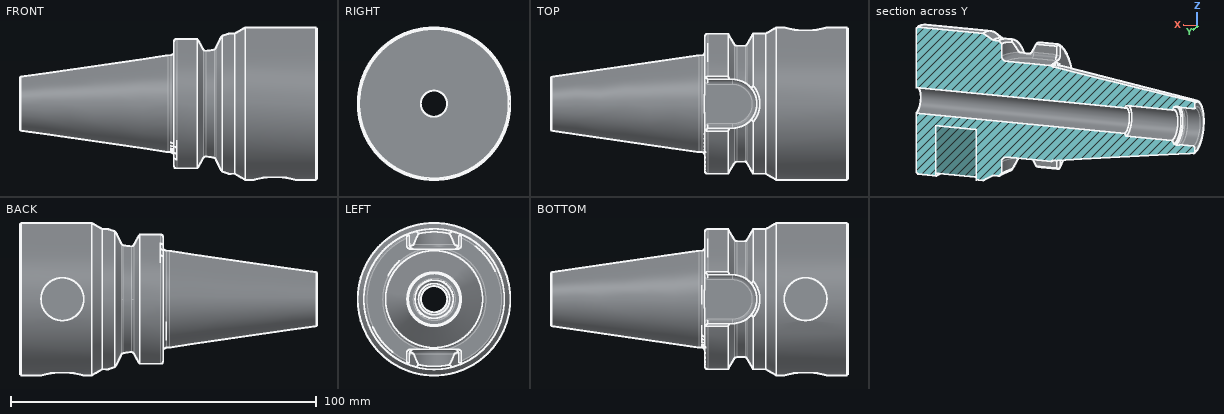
import cadquery as cq
import math


taper_length = 48.4
flange_face_x = 2.0
groove_center_x = 13.74
collar_end_x = 22.0
holder_end_x = 49.0
taper_tip_x = -taper_length

gauge_diameter = 31.75
taper_per_length = 7 / 24
flange_diameter = 46.0
groove_diameter = 38.0
body_diameter = 50.0

gauge_radius = gauge_diameter / 2
tip_radius = gauge_radius - taper_length * taper_per_length / 2
flange_radius = flange_diameter / 2
groove_radius = groove_diameter / 2
body_radius = body_diameter / 2

groove_width = 8.2
groove_wall_angle = math.radians(30)
groove_front_fillet = 1.0
groove_back_fillet = 0.6

groove_start = groove_center_x - groove_width / 2
groove_end = groove_center_x + groove_width / 2
groove_wall_run = (flange_radius - groove_radius) * math.tan(groove_wall_angle)
groove_floor_start = groove_start + groove_wall_run
groove_floor_end = groove_end - groove_wall_run

body_cone_angle = math.radians(30)
cone_end_x = collar_end_x + (body_radius - flange_radius) / math.tan(body_cone_angle)

neck_fillet = 1.0
flange_edge_fillet = 1.0
taper_end_chamfer = 0.4
body_end_chamfer = 0.6

bore_diameter = 12.5
bore_mouth_fillet = 0.65
bore_depth = 7.25
relief_diameter = 13.05
relief_depth = 5.0
relief_ramp = 1.05
relief_land = 0.6
thread_diameter = 10.2
thread_depth = 24.0
through_diameter = 8.5
step_angle = math.radians(60)

slot_width = 16.1
slot_floor_height = 16.3
slot_center_x = 11.0
slot_floor_fillet = 1.6
slot_edge_chamfer = 0.9
slot_end_chamfer = 1.0
slot_mouth_fillet = 1.2
slot_half_width = slot_width / 2
slot_overrun = 7.0
slot_start_x = flange_face_x - slot_overrun
mouth_overrun = 0.3

screw_x = 35.0
screw_diameter = 14.0
screw_hole_floor = 8.0
screw_recess = 0.9
screw_angles = (-90, 180)


def circle_at(x, radius):
    """Selects the turned edge of the given radius at the given place along the axis."""
    margin = 0.01
    reach = radius + margin
    low_corner = (x - margin, -reach, -reach)
    high_corner = (x + margin, reach, reach)
    return cq.selectors.BoxSelector(low_corner, high_corner, boundingbox=True)


def revolve_about_axis(profile):
    return profile.revolve(360, (0, 0, 0), (1, 0, 0))


def turned_body():
    """Taper, flange, gripper groove, collar and body as one turned shape."""
    profile = (
        cq.Workplane("XY")
        .moveTo(taper_tip_x, 0)
        .lineTo(taper_tip_x, tip_radius)
        .lineTo(0, gauge_radius)
        .lineTo(flange_face_x, gauge_radius)
        .lineTo(flange_face_x, flange_radius)
        .lineTo(groove_start, flange_radius)
        .lineTo(groove_floor_start, groove_radius)
        .lineTo(groove_floor_end, groove_radius)
        .lineTo(groove_end, flange_radius)
        .lineTo(collar_end_x, flange_radius)
        .lineTo(cone_end_x, body_radius)
        .lineTo(holder_end_x, body_radius)
        .lineTo(holder_end_x, 0)
        .close()
    )
    body = revolve_about_axis(profile)
    body = body.edges(circle_at(flange_face_x, gauge_radius)).fillet(neck_fillet)
    body = body.edges(circle_at(flange_face_x, flange_radius)).fillet(flange_edge_fillet)
    body = body.edges(circle_at(groove_floor_start, groove_radius)).fillet(groove_front_fillet)
    body = body.edges(circle_at(groove_floor_end, groove_radius)).fillet(groove_back_fillet)
    body = body.edges(circle_at(taper_tip_x, tip_radius)).chamfer(taper_end_chamfer)
    return body.edges(circle_at(holder_end_x, body_radius)).chamfer(body_end_chamfer)


def axial_bore():
    """Cutter for the stepped bore, from the small end of the taper through to the large end."""
    bore_radius = bore_diameter / 2
    relief_radius = relief_diameter / 2
    thread_radius = thread_diameter / 2
    through_radius = through_diameter / 2

    arc_offset = bore_mouth_fillet * (1 - math.sqrt(0.5))
    relief_start = taper_tip_x + relief_depth
    land_start = relief_start + relief_ramp
    land_end = land_start + relief_land
    bore_end = taper_tip_x + bore_depth
    thread_start = bore_end + (bore_radius - thread_radius) / math.tan(step_angle)
    thread_end = taper_tip_x + thread_depth
    through_start = thread_end + (thread_radius - through_radius) / math.tan(step_angle)
    profile = (
        cq.Workplane("XY")
        .moveTo(taper_tip_x, 0)
        .lineTo(taper_tip_x, bore_radius + bore_mouth_fillet)
        .threePointArc(
            (taper_tip_x + arc_offset, bore_radius + arc_offset),
            (taper_tip_x + bore_mouth_fillet, bore_radius),
        )
        .lineTo(relief_start, bore_radius)
        .lineTo(land_start, relief_radius)
        .lineTo(land_end, relief_radius)
        .lineTo(land_end, bore_radius)
        .lineTo(bore_end, bore_radius)
        .lineTo(thread_start, thread_radius)
        .lineTo(thread_end, thread_radius)
        .lineTo(through_start, through_radius)
        .lineTo(holder_end_x, through_radius)
        .lineTo(holder_end_x, 0)
        .close()
    )
    return revolve_about_axis(profile)


def drive_slot():
    """Cutter for the +Z slot: round at its end, open toward the taper, with a filleted floor."""
    return (
        cq.Workplane("XY", origin=(0, 0, slot_floor_height))
        .moveTo(slot_start_x, -slot_half_width)
        .lineTo(slot_center_x, -slot_half_width)
        .threePointArc((slot_center_x + slot_half_width, 0), (slot_center_x, slot_half_width))
        .lineTo(slot_start_x, slot_half_width)
        .close()
        .extrude(body_radius - slot_floor_height)
        .faces("<Z")
        .edges()
        .fillet(slot_floor_fillet)
    )


def slot_mouth():
    """Cutter that flares the walls of the +Z slot at 45 degrees where it opens on the flange face."""
    wide = slot_half_width + slot_edge_chamfer + mouth_overrun
    narrow = slot_half_width - slot_floor_fillet - mouth_overrun
    start = flange_face_x - mouth_overrun
    end = start + wide - narrow
    return (
        cq.Workplane("XY", origin=(0, 0, slot_floor_height))
        .moveTo(start, -wide)
        .lineTo(end, -narrow)
        .lineTo(end, narrow)
        .lineTo(start, wide)
        .close()
        .extrude(body_radius - slot_floor_height)
        .edges("<Z and (not |Y)")
        .fillet(slot_mouth_fillet)
    )


def slot_top_bevel():
    """Cutter that bevels the top edges of the +Z slot along the flange."""
    wall_top = math.sqrt(flange_radius**2 - slot_half_width**2) - slot_edge_chamfer
    bevel_half_width = slot_half_width + slot_edge_chamfer
    bevel_rise = math.sqrt(flange_radius**2 - bevel_half_width**2) - wall_top
    outer_half_width = slot_half_width + 2 * slot_edge_chamfer
    outer_top = wall_top + 2 * bevel_rise
    return (
        cq.Workplane("YZ", origin=(slot_start_x, 0, 0))
        .moveTo(-slot_half_width, wall_top)
        .lineTo(slot_half_width, wall_top)
        .lineTo(outer_half_width, outer_top)
        .lineTo(-outer_half_width, outer_top)
        .close()
        .extrude(slot_center_x - slot_start_x)
    )


def slot_end_rim():
    """Selects the outer edge of the round end of the +Z slot, on the collar behind the groove."""
    return cq.selectors.BoxSelector(
        (groove_center_x, -slot_half_width, (groove_radius + flange_radius) / 2),
        (collar_end_x, slot_half_width, body_radius),
    )


def cut_drive_slot(body):
    body = body.cut(drive_slot().union(slot_mouth()))
    body = body.edges(slot_end_rim()).chamfer(slot_end_chamfer)
    return body.cut(slot_top_bevel())


def radial_cylinder(angle, top):
    """Cylinder of the screw diameter, turned about X from +Z, from the hole floor out to a radius."""
    return (
        cq.Workplane("XY", origin=(screw_x, 0, screw_hole_floor))
        .circle(screw_diameter / 2)
        .extrude(top - screw_hole_floor)
        .rotate((0, 0, 0), (1, 0, 0), angle)
    )


def make_holder():
    body = turned_body().cut(axial_bore())
    for _ in range(2):
        body = cut_drive_slot(body).rotate((0, 0, 0), (1, 0, 0), 180)
    for angle in screw_angles:
        body = body.cut(radial_cylinder(angle, body_radius))
    return body


def make_clamping_screw(angle):
    """Plain screw body that fills its hole up to a little below the outer surface."""
    return radial_cylinder(angle, body_radius - screw_recess)


holder = make_holder()
clamping_screws = [make_clamping_screw(angle) for angle in screw_angles]

result = cq.Compound.makeCompound([holder.solids().val(), *[screw.val() for screw in clamping_screws]])